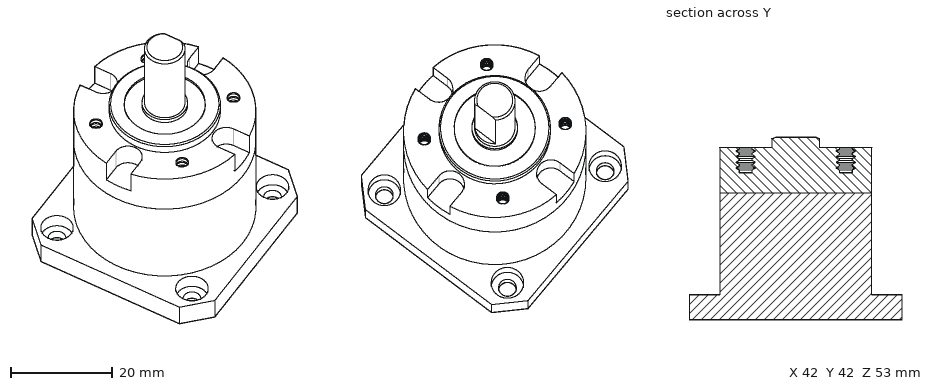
import cadquery as cq
import math

PLATE_SIDE = 42.0
PLATE_HEIGHT = 5.0
PLATE_CORNER = 5.1
MOUNT_PITCH = 31.0
MOUNT_HOLE = 3.5
MOUNT_BORE = 6.4
MOUNT_BORE_DEPTH = 3.0

BODY_DIAMETER = 36.0
HOUSING_TOP = 25.0
COVER_TOP = 34.0

SLOT_COUNT = 4
SLOT_WIDTH = 5.6
SLOT_INNER = 11.35
SLOT_DEPTH = 5.0

FACE_HOLE = 2.5
FACE_HOLE_CIRCLE = 28.0
FACE_HOLE_COUNT = 4
FACE_HOLE_DEPTH = 5.0
THREAD_RING_COUNT = 4
THREAD_PITCH = 1.1
THREAD_LAND = 0.35
THREAD_FLANK = 30

PILOT_DIAMETER = 22.0
PILOT_HEIGHT = 2.0
PILOT_CHAMFER = 0.3
RECESS_DIAMETER = 16.0
RECESS_DEPTH = 0.5

SHAFT_TOP = 53
SHAFT_DIAMETER = 8.0
SHAFT_CHAMFER = 0.5
SHOULDER_DIAMETER = 9
SHOULDER_RISE = 0.35
FLAT_LENGTH = 15.0
FLAT_OFFSET = 3.0

PILOT_TOP = COVER_TOP + PILOT_HEIGHT
SHOULDER_TOP = PILOT_TOP + SHOULDER_RISE


def cylinder(diameter, bottom, top):
    """Upright cylinder on the Z axis."""
    return cq.Workplane("XY", origin=(0, 0, bottom)).circle(diameter / 2).extrude(top - bottom)


def make_housing():
    """Square mounting plate and the round gear housing standing on it."""
    plate = (
        cq.Workplane("XY")
        .rect(PLATE_SIDE, PLATE_SIDE)
        .extrude(PLATE_HEIGHT)
        .edges("|Z")
        .chamfer(PLATE_CORNER)
        .faces(">Z")
        .workplane()
        .rect(MOUNT_PITCH, MOUNT_PITCH, forConstruction=True)
        .vertices()
        .cboreHole(MOUNT_HOLE, MOUNT_BORE, MOUNT_BORE_DEPTH)
    )
    return plate.union(cylinder(BODY_DIAMETER, PLATE_HEIGHT, HOUSING_TOP))


def make_slot():
    """Cutter for the slot on the +X side: round inner end, open at the rim."""
    radius = SLOT_WIDTH / 2
    center = SLOT_INNER + radius
    rim = BODY_DIAMETER / 2 + radius
    return (
        cq.Workplane("XY", origin=(0, 0, COVER_TOP - SLOT_DEPTH))
        .moveTo(rim, -radius)
        .lineTo(center, -radius)
        .threePointArc((SLOT_INNER, 0), (center, radius))
        .lineTo(rim, radius)
        .close()
        .extrude(SLOT_DEPTH)
    )


def make_face_hole():
    """Cutter for one threaded face hole, centered on the Z axis."""
    radius = FACE_HOLE / 2
    ring_height = THREAD_PITCH - THREAD_LAND
    ring_depth = ring_height / 2 / math.tan(math.radians(THREAD_FLANK))
    hole = cylinder(FACE_HOLE, COVER_TOP - FACE_HOLE_DEPTH, COVER_TOP)
    for index in range(THREAD_RING_COUNT):
        ring_top = COVER_TOP - THREAD_LAND - index * THREAD_PITCH
        ring = (
            cq.Workplane("XZ")
            .moveTo(0, ring_top)
            .lineTo(radius, ring_top)
            .lineTo(radius + ring_depth, ring_top - ring_height / 2)
            .lineTo(radius, ring_top - ring_height)
            .lineTo(0, ring_top - ring_height)
            .close()
            .revolve(360, (0, 0, 0), (0, 1, 0))
        )
        hole = hole.union(ring)
    return hole


def make_cover():
    """Round cover with rim slots, face holes, pilot boss and shaft seat."""
    pilot = cylinder(PILOT_DIAMETER, COVER_TOP, PILOT_TOP).faces(">Z").chamfer(PILOT_CHAMFER)
    cover = cylinder(BODY_DIAMETER, HOUSING_TOP, COVER_TOP).union(pilot)
    slot = make_slot()
    for index in range(SLOT_COUNT):
        cover = cover.cut(slot.rotate((0, 0, 0), (0, 0, 1), index * 360 / SLOT_COUNT))
    face_hole = make_face_hole().translate((FACE_HOLE_CIRCLE / 2, 0, 0))
    for index in range(FACE_HOLE_COUNT):
        angle = (index + 0.5) * 360 / FACE_HOLE_COUNT
        cover = cover.cut(face_hole.rotate((0, 0, 0), (0, 0, 1), angle))
    recess = cylinder(RECESS_DIAMETER, PILOT_TOP - RECESS_DEPTH, PILOT_TOP)
    shaft_seat = cylinder(SHOULDER_DIAMETER, HOUSING_TOP, PILOT_TOP)
    return cover.cut(recess).cut(shaft_seat)


def make_shaft():
    """Shouldered output shaft with a flat on its +Y side."""
    shoulder = cylinder(SHOULDER_DIAMETER, HOUSING_TOP, SHOULDER_TOP)
    shank = cylinder(SHAFT_DIAMETER, SHOULDER_TOP, SHAFT_TOP).faces(">Z").chamfer(SHAFT_CHAMFER)
    flat = (
        cq.Workplane("XY", origin=(0, FLAT_OFFSET, SHAFT_TOP - FLAT_LENGTH))
        .rect(SHAFT_DIAMETER, SHAFT_DIAMETER / 2, centered=(True, False))
        .extrude(FLAT_LENGTH)
    )
    return shoulder.union(shank).cut(flat)


housing = make_housing()
cover = make_cover()
shaft = make_shaft()

result = cq.Compound.makeCompound([housing.val(), cover.val(), shaft.val()])